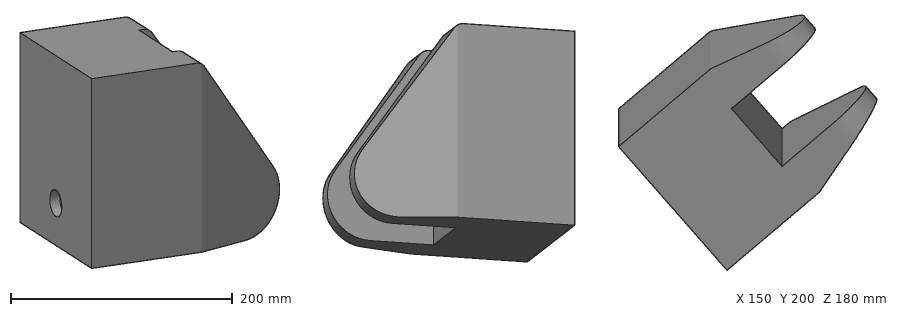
import cadquery as cq
import math

width = 150.0
length = 200.0
height = 180.0

nose_radius = 40.0
top_length = 110.0
top_fillet = 10.0

slot_width = 70.0
slot_start = 100.0

taper_start = 110.0
arm_tip_width = 15.0

hole_diameter = 25.0
hole_height = 40.0
hole_depth = 10.0


def along_nose(angle):
    """Point (Y, Z) on the rounded nose at an angle in radians from +Y."""
    center_y = length - nose_radius
    return (
        center_y + nose_radius * math.cos(angle),
        nose_radius + nose_radius * math.sin(angle),
    )


def make_body():
    """Side profile with a slope tangent to the nose, extruded across the width."""
    corner_dy = top_length - (length - nose_radius)
    corner_dz = height - nose_radius
    corner_distance = math.hypot(corner_dy, corner_dz)
    tangent_angle = math.atan2(corner_dz, corner_dy) - math.acos(nose_radius / corner_distance)
    bottom_angle = -math.pi / 2
    body = (
        cq.Workplane("YZ")
        .moveTo(0, 0)
        .lineTo(*along_nose(bottom_angle))
        .threePointArc(along_nose((bottom_angle + tangent_angle) / 2), along_nose(tangent_angle))
        .lineTo(top_length, height)
        .lineTo(0, height)
        .close()
        .extrude(width / 2, both=True)
    )
    top_corner = cq.selectors.NearestToPointSelector((0, top_length, height))
    return body.edges(top_corner).fillet(top_fillet)


def make_plan():
    """Tapered plan outline, extruded over the full height."""
    half_width = width / 2
    half_end = slot_width / 2 + arm_tip_width
    return (
        cq.Workplane("XY")
        .polyline([
            (-half_width, 0),
            (half_width, 0),
            (half_width, taper_start),
            (half_end, length),
            (-half_end, length),
            (-half_width, taper_start),
        ])
        .close()
        .extrude(height)
    )


def make_slot():
    """Open slot running through the full height between the arms."""
    return cq.Workplane("XY").box(
        slot_width, length - slot_start, height, centered=(True, False, False)
    ).translate((0, slot_start, 0))


def make_hole():
    """Blind hole entering the front face along +Y."""
    return (
        cq.Workplane("XZ")
        .center(0, hole_height)
        .circle(hole_diameter / 2)
        .extrude(-hole_depth)
    )


result = make_body().intersect(make_plan()).cut(make_slot()).cut(make_hole())